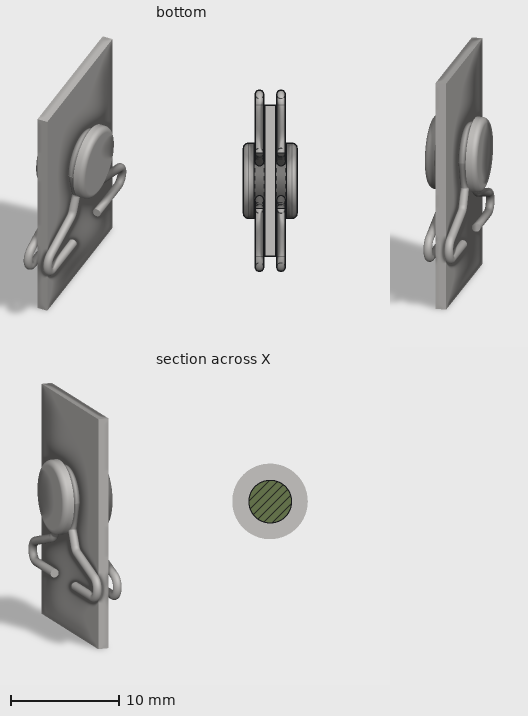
import cadquery as cq
import math

plate_thickness = 1.0
plate_width = 14.0
plate_height = 22.0
plate_top = 9.0

head_offset = 1.0
head_thickness = 1.0
head_radius = 3.5
head_fillet = 0.5
shank_radius = 2.0

wire_radius = 0.4
wire_offset = 1.0
loop_radius = 2.6
neck_y = 1.8
neck_z = -2.7
elbow_y = 2.72
elbow_radius = 1.0
arm_angle = math.radians(17.5)
hook_y = plate_width / 2
hook_z = -7.0
hook_radius = 1.0
tip_y = 2.55


def shifted(point, angle, distance):
    """Point moved by a distance along a direction in the YZ plane."""
    return (point[0] + distance * math.cos(angle), point[1] + distance * math.sin(angle))


def make_plate_with_studs():
    body = cq.Workplane("XY").box(plate_thickness, plate_width, plate_height)
    body = body.translate((0, 0, plate_top - plate_height / 2))
    head_start = plate_thickness / 2 + head_offset
    shank = cq.Workplane("YZ").circle(shank_radius).extrude(head_start, both=True)
    body = body.union(shank)
    head = cq.Workplane("YZ", origin=(head_start, 0, 0)).circle(head_radius).extrude(head_thickness)
    head = head.faces(">X").edges().fillet(head_fillet)
    return body.union(head).union(head.mirror("YZ"))


def make_leg(x):
    """+Y leg of the spring, from the free tip up to the end of the loop."""
    hook_center = (hook_y, hook_z)
    hook_end = shifted(hook_center, math.pi / 2 - arm_angle, hook_radius)
    hook_middle = shifted(hook_center, -arm_angle / 2, hook_radius)
    elbow_z = hook_end[1] + (hook_end[0] - elbow_y) * math.tan(arm_angle)
    elbow = (elbow_y, elbow_z)

    leg_angle = math.atan2(neck_z - elbow_z, elbow_y - neck_y)
    turn = leg_angle - arm_angle
    tangent_length = elbow_radius * math.tan(turn / 2)
    elbow_start = shifted(elbow, -arm_angle, tangent_length)
    elbow_end = shifted(elbow, math.pi - leg_angle, tangent_length)
    bisector = (math.pi - leg_angle - arm_angle) / 2
    elbow_middle = shifted(elbow, bisector, elbow_radius / math.cos(turn / 2) - elbow_radius)

    neck_angle = math.atan2(-neck_z, loop_radius - neck_y)
    neck_end = shifted((loop_radius, 0), neck_angle, wire_radius)
    tip = (tip_y, hook_z - hook_radius)
    path = (
        cq.Workplane("YZ", origin=(x, 0, 0))
        .moveTo(*tip)
        .lineTo(hook_y, hook_z - hook_radius)
        .threePointArc(hook_middle, hook_end)
        .lineTo(*elbow_start)
        .threePointArc(elbow_middle, elbow_end)
        .lineTo(neck_y, neck_z)
        .lineTo(*neck_end)
    )
    leg = cq.Workplane("XZ", origin=(x, *tip)).circle(wire_radius).sweep(path, transition="right")
    trim_size = 4 * wire_radius
    trim = cq.Workplane("XY", origin=(x, loop_radius, 0)).rect(trim_size, trim_size).extrude(trim_size)
    return leg.cut(trim)


def make_spring(x):
    """Half-round loop over the shank with a leg on each side."""
    loop_section = cq.Workplane("XY", origin=(x, loop_radius, 0)).circle(wire_radius)
    loop = loop_section.revolve(180, (0, -loop_radius, 0), (1, -loop_radius, 0))
    leg = make_leg(x)
    return loop.union(leg).union(leg.mirror("XZ"))


plate = make_plate_with_studs()
springs = [make_spring(side * wire_offset) for side in (-1, 1)]

bodies = [plate, *springs]
result = cq.Compound.makeCompound([body.solids().val() for body in bodies])